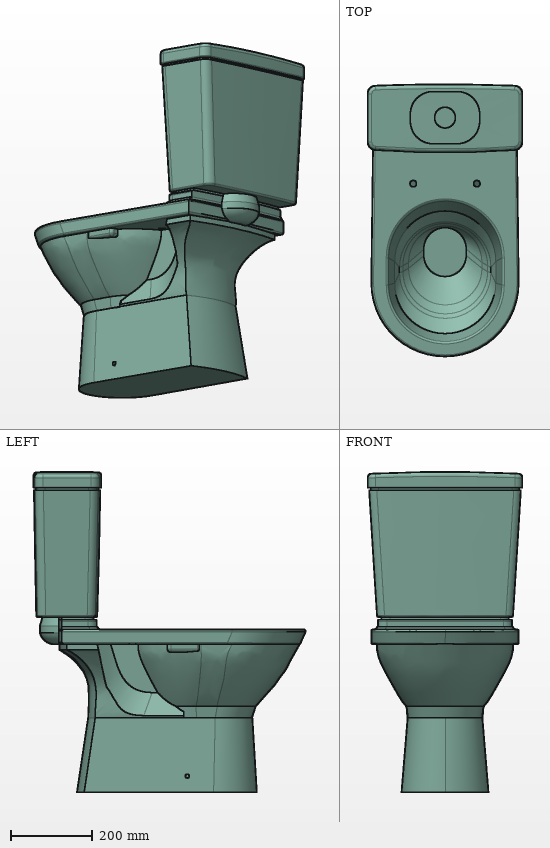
import cadquery as cq
import math


SEAM_Z = 183.0
BOWL_BOTTOM_Z = 211.0
RIM_BOTTOM_Z = 363.5
RIM_TOP_Z = 400.0
PLINTH_TOP_Z = 424.0
TANK_BOTTOM_Z = 430.0
TANK_TOP_Z = 741.5
LID_BOTTOM_Z = 747.0
LID_SIDE_Z = 782.0
TOTAL_HEIGHT = 787.16
OVERLAP = 4.0

RIM_FRONT_Y = -259.44
RIM_FRONT_BOTTOM_Y = -246.0
RIM_HALF_WIDTH = 181.0
RIM_REAR_HALF_WIDTH = 176.0
RIM_REAR_CORNER_Y = 339.0
RIM_REAR_BOW = 8.0
RIM_EDGE_HEIGHT = 6.0
RIM_TOP_FILLET = 5.0
RIM_BOTTOM_FILLET = 5.0

TOTAL_LENGTH = 668.44
LID_REAR_Y = RIM_FRONT_Y + TOTAL_LENGTH
LID_FRONT_Y = 241.0
LID_HALF_WIDTH = 379.96 / 2
LID_TOP_FILLET = 10.0
LID_BOTTOM_FILLET = 3.0
TANK_BOTTOM_HALF_WIDTH = 167.0
TANK_TOP_HALF_WIDTH = 186.5
TANK_BOTTOM_FRONT_Y = 251.0
TANK_BOTTOM_REAR_Y = 402.0
TANK_TOP_FRONT_Y = 243.5
TANK_TOP_REAR_Y = 408.0
TANK_FRONT_BOW = 8.0
TANK_REAR_BOW = 4.0
TANK_CORNER_RADIUS = 20.0
TANK_BOTTOM_FILLET = 5.0
GAP_INSET = 4.0

BUTTON_Y = 327.0
BUTTON_RADIUS = 25.5
PLATE_WIDTH = 170.0
PLATE_LENGTH = 128.0
PLATE_CORNER_RADIUS = 55.0
PLATE_RISE = 0.5

PLINTH_HALF_WIDTH = 165.0
PLINTH_FRONT_Y = 253.0
PLINTH_CORNER_RADIUS = 22.0
PLINTH_FLARE = 7.0
PLINTH_EDGE_FILLET = 4.0
NECK_INSET = 8.0

INLET_Y = 330.0
INLET_RADIUS = 63.0
INLET_TOP_RADIUS = 56.0
INLET_BASE_RADIUS = 20.0
INLET_SIDE_BOTTOM_Z = 392.0
INLET_SIDE_TOP_Z = 409.0

BOWL_SECTIONS = [
    (BOWL_BOTTOM_Z, 95, -137, 105),
    (228, 108, -153, 115),
    (260, 127, -181, 130),
    (300, 149, -210, 148),
    (RIM_BOTTOM_Z + OVERLAP, 166, -247, 165),
]
BOWL_NECK_SECTION = (SEAM_Z, 91, -128, 100)
BASIN_SECTIONS = [
    (215, 52, -63, 57),
    (255, 90, -132, 62),
    (275, 104, -154, 68),
    (285, 112, -165, 72),
]
LEDGE_SECTION = (318, 124, -203, 98)
OPENING_SECTION = (RIM_TOP_Z, 140, -223, 124)
OPENING_FILLET = 6.0

PEDESTAL_REAR_BOW = 18.0
PEDESTAL_FLOOR = (105.0, 107.0, 284.0, -33.0)
PEDESTAL_TOP = (91.5, 92.0, 257.0, -37.0)

COLUMN_SECTIONS = [
    (SEAM_Z, 91.5, 92, 257),
    (225, 91.5, 92, 255),
    (260, 95, 96, 256),
    (300, 113, 115, 270),
    (330, 132, 138, 296),
    (350, 158, 160, 327),
]
COLUMN_FRONT_Y = 40.0

SCOOP_MOUTH_EDGE = [(254, 370), (140, 184)]
SCOOP_WEB_EDGE = [(221, 370), (118, 245)]
SCOOP_TOP_DIRECTION = (-0.3, -1.0)
SCOOP_FLOOR_DIRECTION = (-1.0, 0.0)
SCOOP_FRONT_Y = -60.0
SCOOP_MOUTH_X = 95.0
WEB_HALF_WIDTH = 65.0

LUG_INNER_X = 120.0
LUG_OUTER_X = 168.0
LUG_FRONT_Y = -2.0
LUG_REAR_Y = 80.0
LUG_BOTTOM_Z = 344.0
LUG_FILLET = 8.0

SEAT_HOLE_DIAMETER = 16.0
SEAT_HOLE_X = 78.0
SEAT_HOLE_Y = 165.0
FIXING_HOLE_DIAMETER = 9.7
FIXING_HOLE_Y = 31.0
FIXING_HOLE_Z = 40.0
FIXING_HOLE_FLOOR_X = 85.0

SELECT_MARGIN = 1.0


def level(z):
    return cq.Workplane("XY").workplane(offset=z)


def loft(wires, ruled=False):
    return cq.Workplane(cq.Solid.makeLoft(wires, ruled))


def prism(wire, height):
    return cq.Workplane(cq.Solid.extrudeLinear(wire, [], cq.Vector(0, 0, height)))


def oval_wire(z, half_width, front, rear):
    """Two half circles of the given half width joined by straight sides."""
    front_center = front + half_width
    rear_center = rear - half_width
    outline = (
        level(z)
        .moveTo(-half_width, front_center)
        .threePointArc((0, front), (half_width, front_center))
        .lineTo(half_width, rear_center)
        .threePointArc((0, rear), (-half_width, rear_center))
        .close()
    )
    return outline.val()


def round_front_wire(z, rear_half, front_half, rear_corner, arc_center, front, bow):
    """A bowed rear edge, tapered sides and a round front."""
    side = front_half * math.sqrt(0.5)
    middle = arc_center - (arc_center - front) * math.sqrt(0.5)
    outline = (
        level(z)
        .moveTo(-rear_half, rear_corner)
        .lineTo(-front_half, arc_center)
        .threePointArc((-side, middle), (0, front))
        .threePointArc((side, middle), (front_half, arc_center))
        .lineTo(rear_half, rear_corner)
        .threePointArc((0, rear_corner + bow), (-rear_half, rear_corner))
        .close()
    )
    return outline.val()


def column_wire(z, rear_half, front_half, rear_corner):
    outline = (
        level(z)
        .moveTo(-rear_half, rear_corner)
        .lineTo(-front_half, COLUMN_FRONT_Y)
        .lineTo(front_half, COLUMN_FRONT_Y)
        .lineTo(rear_half, rear_corner)
        .threePointArc((0, rear_corner + PEDESTAL_REAR_BOW), (-rear_half, rear_corner))
        .close()
    )
    return outline.val()


def tank_wire(z, half_width, front, rear):
    """A rectangle with bowed front and rear edges and rounded corners."""
    outline = (
        level(z)
        .moveTo(-half_width, front + TANK_FRONT_BOW)
        .threePointArc((0, front), (half_width, front + TANK_FRONT_BOW))
        .lineTo(half_width, rear - TANK_REAR_BOW)
        .threePointArc((0, rear), (-half_width, rear - TANK_REAR_BOW))
        .close()
    )
    wire = outline.val()
    return wire.fillet2D(TANK_CORNER_RADIUS, wire.Vertices())


def make_pedestal():
    wires = []
    for z, section in ((0, PEDESTAL_FLOOR), (SEAM_Z, PEDESTAL_TOP)):
        front = section[3] - section[1]
        wires.append(round_front_wire(z, *section, front, PEDESTAL_REAR_BOW))
    return loft(wires, ruled=True)


def make_column():
    flare = loft([column_wire(*section) for section in COLUMN_SECTIONS])
    top_section = COLUMN_SECTIONS[-1]
    top_z = top_section[0]
    cap_wire = column_wire(*top_section)
    return flare.union(prism(cap_wire, RIM_BOTTOM_Z + OVERLAP - top_z))


def scoop_wire(x, edge):
    start, end = edge
    outline = (
        cq.Workplane("YZ", origin=(x, 0, 0))
        .moveTo(*start)
        .spline([end], [SCOOP_TOP_DIRECTION, SCOOP_FLOOR_DIRECTION], includeCurrent=True)
        .lineTo(SCOOP_FRONT_Y, end[1])
        .lineTo(SCOOP_FRONT_Y, start[1])
        .close()
    )
    return outline.val()


def make_scoop():
    """The hollow of the +X flank: a straight mouth narrowing to the central web."""
    mouth_wire = scoop_wire(SCOOP_MOUTH_X, SCOOP_MOUTH_EDGE)
    mouth = cq.Workplane(cq.Solid.extrudeLinear(mouth_wire, [], cq.Vector(RIM_HALF_WIDTH, 0, 0)))
    return mouth.union(loft([scoop_wire(WEB_HALF_WIDTH, SCOOP_WEB_EDGE), mouth_wire], ruled=True))


def make_rim():
    levels = [
        (RIM_BOTTOM_Z, RIM_FRONT_BOTTOM_Y),
        (RIM_TOP_Z - RIM_EDGE_HEIGHT, RIM_FRONT_Y),
        (RIM_TOP_Z, RIM_FRONT_Y),
    ]
    wires = []
    for z, front in levels:
        arc_center = front + RIM_HALF_WIDTH
        wires.append(
            round_front_wire(
                z, RIM_REAR_HALF_WIDTH, RIM_HALF_WIDTH, RIM_REAR_CORNER_Y, arc_center, front, RIM_REAR_BOW
            )
        )
    rim = loft(wires, ruled=True)
    rim = rim.faces(">Z").edges().fillet(RIM_TOP_FILLET)
    return rim.faces("<Z").edges().fillet(RIM_BOTTOM_FILLET)


def make_bowl():
    neck = loft([oval_wire(*BOWL_NECK_SECTION), oval_wire(*BOWL_SECTIONS[0])], ruled=True)
    return loft([oval_wire(*section) for section in BOWL_SECTIONS]).union(neck)


def make_lug():
    size_x = LUG_OUTER_X - LUG_INNER_X
    size_y = LUG_REAR_Y - LUG_FRONT_Y
    size_z = RIM_BOTTOM_Z + OVERLAP - LUG_BOTTOM_Z
    lug = cq.Workplane("XY").box(size_x, size_y, size_z, centered=False)
    lug = lug.edges("|Z or <Z").fillet(LUG_FILLET)
    return lug.translate((LUG_INNER_X, LUG_FRONT_Y, LUG_BOTTOM_Z))


def make_basin():
    ledge = oval_wire(*LEDGE_SECTION)
    basin = loft([oval_wire(*section) for section in BASIN_SECTIONS] + [ledge], ruled=True)
    return basin.union(loft([ledge, oval_wire(*OPENING_SECTION)], ruled=True))


def plinth_wire(z, grow):
    half_width = PLINTH_HALF_WIDTH + grow
    front = PLINTH_FRONT_Y - grow
    outline = (
        level(z)
        .moveTo(half_width, RIM_REAR_CORNER_Y)
        .threePointArc((0, RIM_REAR_CORNER_Y + RIM_REAR_BOW), (-half_width, RIM_REAR_CORNER_Y))
        .lineTo(-half_width, front)
        .lineTo(half_width, front)
        .close()
    )
    wire = outline.val()
    front_corners = [v for v in wire.Vertices() if v.Y < front + SELECT_MARGIN]
    return wire.fillet2D(PLINTH_CORNER_RADIUS, front_corners)


def make_plinth():
    body = prism(plinth_wire(RIM_TOP_Z - OVERLAP, 0), PLINTH_TOP_Z - RIM_TOP_Z + OVERLAP)
    body = body.faces(">Z").edges("not >Y").fillet(PLINTH_EDGE_FILLET)
    flare = loft([plinth_wire(RIM_TOP_Z, PLINTH_FLARE), plinth_wire(RIM_TOP_Z + PLINTH_FLARE, 0)], ruled=True)
    neck_bottom = PLINTH_TOP_Z - OVERLAP
    neck = prism(plinth_wire(neck_bottom, -NECK_INSET), TANK_BOTTOM_Z + OVERLAP - neck_bottom)
    return body.union(flare).union(neck)


def make_inlet():
    drop = INLET_SIDE_BOTTOM_Z - RIM_BOTTOM_Z
    shoulder = (
        INLET_BASE_RADIUS + (INLET_RADIUS - INLET_BASE_RADIUS) * math.sqrt(0.5),
        INLET_SIDE_BOTTOM_Z - drop * math.sqrt(0.5),
    )
    profile = (
        cq.Workplane("XZ")
        .moveTo(0, RIM_BOTTOM_Z)
        .lineTo(INLET_BASE_RADIUS, RIM_BOTTOM_Z)
        .threePointArc(shoulder, (INLET_RADIUS, INLET_SIDE_BOTTOM_Z))
        .lineTo(INLET_RADIUS, INLET_SIDE_TOP_Z)
        .lineTo(INLET_TOP_RADIUS, TANK_BOTTOM_Z + OVERLAP)
        .lineTo(0, TANK_BOTTOM_Z + OVERLAP)
        .close()
    )
    return profile.revolve(360, (0, 0, 0), (0, 1, 0)).translate((0, INLET_Y, 0))


def make_tank():
    bottom = tank_wire(TANK_BOTTOM_Z, TANK_BOTTOM_HALF_WIDTH, TANK_BOTTOM_FRONT_Y, TANK_BOTTOM_REAR_Y)
    top = tank_wire(TANK_TOP_Z, TANK_TOP_HALF_WIDTH, TANK_TOP_FRONT_Y, TANK_TOP_REAR_Y)
    tank = loft([bottom, top], ruled=True).faces("<Z").edges().fillet(TANK_BOTTOM_FILLET)
    gap_bottom = TANK_TOP_Z - OVERLAP
    gap = tank_wire(
        gap_bottom,
        TANK_TOP_HALF_WIDTH - GAP_INSET,
        TANK_TOP_FRONT_Y + GAP_INSET,
        TANK_TOP_REAR_Y - GAP_INSET,
    )
    return tank.union(prism(gap, LID_BOTTOM_Z + OVERLAP - gap_bottom))


def crown(rise):
    """A block whose top is the crowned lid surface, lifted by `rise`."""
    profile = (
        cq.Workplane("XZ", origin=(0, LID_REAR_Y, 0))
        .moveTo(-LID_HALF_WIDTH, LID_BOTTOM_Z)
        .lineTo(-LID_HALF_WIDTH, LID_SIDE_Z + rise)
        .threePointArc((0, TOTAL_HEIGHT - 2 * PLATE_RISE + rise), (LID_HALF_WIDTH, LID_SIDE_Z + rise))
        .lineTo(LID_HALF_WIDTH, LID_BOTTOM_Z)
        .close()
    )
    return profile.extrude(LID_REAR_Y - LID_FRONT_Y)


def make_lid():
    height = TOTAL_HEIGHT - LID_BOTTOM_Z
    outline = tank_wire(LID_BOTTOM_Z, LID_HALF_WIDTH, LID_FRONT_Y, LID_REAR_Y)
    lid = prism(outline, height).intersect(crown(0))
    lid = lid.faces(">Z").edges().fillet(LID_TOP_FILLET)
    lid = lid.faces("<Z").edges().fillet(LID_BOTTOM_FILLET)
    plate = level(LID_BOTTOM_Z + OVERLAP).center(0, BUTTON_Y).rect(PLATE_WIDTH, PLATE_LENGTH).extrude(height)
    plate = plate.edges("|Z").fillet(PLATE_CORNER_RADIUS).intersect(crown(PLATE_RISE))
    button = level(LID_BOTTOM_Z + OVERLAP).center(0, BUTTON_Y).circle(BUTTON_RADIUS).extrude(height)
    button = button.intersect(crown(2 * PLATE_RISE))
    return lid.union(plate).union(button)


def drill_holes(body):
    seat_holes = (
        level(RIM_BOTTOM_Z)
        .pushPoints([(-SEAT_HOLE_X, SEAT_HOLE_Y), (SEAT_HOLE_X, SEAT_HOLE_Y)])
        .circle(SEAT_HOLE_DIAMETER / 2)
        .extrude(RIM_TOP_Z - RIM_BOTTOM_Z)
    )
    fixing_hole = (
        cq.Workplane("YZ", origin=(FIXING_HOLE_FLOOR_X, 0, 0))
        .center(FIXING_HOLE_Y, FIXING_HOLE_Z)
        .circle(FIXING_HOLE_DIAMETER / 2)
        .extrude(RIM_HALF_WIDTH - FIXING_HOLE_FLOOR_X)
    )
    return body.cut(seat_holes).cut(fixing_hole).cut(fixing_hole.mirror("YZ"))


scoop = make_scoop()
column = make_column().cut(scoop).cut(scoop.mirror("YZ"))
lug = make_lug()

pan = make_pedestal().union(column).union(make_bowl()).union(make_rim())
pan = pan.union(lug).union(lug.mirror("YZ"))
pan = pan.cut(make_basin())
opening_z, opening_half, opening_front, opening_rear = OPENING_SECTION
opening_edges = cq.selectors.BoxSelector(
    (-opening_half - SELECT_MARGIN, opening_front - SELECT_MARGIN, opening_z - SELECT_MARGIN),
    (opening_half + SELECT_MARGIN, opening_rear + SELECT_MARGIN, opening_z + SELECT_MARGIN),
    boundingbox=True,
)
pan = pan.edges(opening_edges).fillet(OPENING_FILLET)
pan = drill_holes(pan)

cistern = make_plinth().union(make_inlet()).union(make_tank()).union(make_lid())
result = pan.union(cistern)